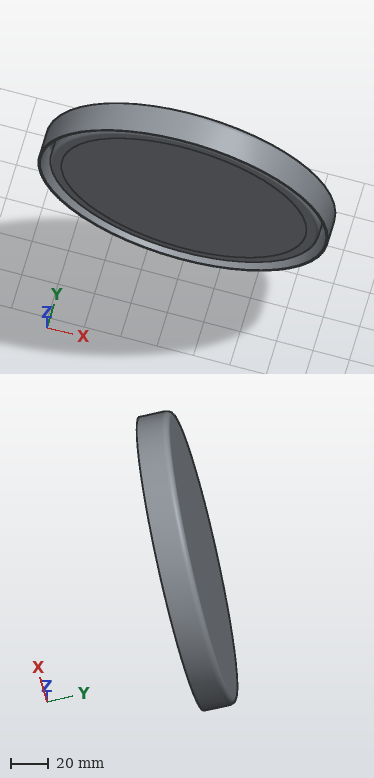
import cadquery as cq
import math

OUTER_RADIUS = 79.6
HEIGHT = 17.4
BACK_ROUND = 3.3

RIM_THICKNESS = 1.0
GROOVE_INNER_RADIUS = 73.9
GROOVE_DEPTH = HEIGHT - RIM_THICKNESS

FACE_DROP = 1.5
FACE_ROUND = 1.8
DISC_RADIUS = 67.4
DISC_THICKNESS = 1.6

RIM_Y = 0.0
BACK_Y = RIM_Y + HEIGHT
FACE_Y = RIM_Y + FACE_DROP
DISC_BACK_Y = FACE_Y + DISC_THICKNESS


def make_lid():
    """Revolve the lid section, with its groove and disc recess, about the Y axis."""
    rim_inner_radius = OUTER_RADIUS - RIM_THICKNESS
    groove_round = (rim_inner_radius - GROOVE_INNER_RADIUS) / 2
    groove_middle = GROOVE_INNER_RADIUS + groove_round
    groove_floor_y = RIM_Y + GROOVE_DEPTH
    groove_arc_y = groove_floor_y - groove_round

    diagonal = math.sqrt(0.5)
    back_centre = (OUTER_RADIUS - BACK_ROUND, BACK_Y - BACK_ROUND)
    back_arc_middle = (back_centre[0] + BACK_ROUND * diagonal, back_centre[1] + BACK_ROUND * diagonal)
    face_centre = (GROOVE_INNER_RADIUS - FACE_ROUND, FACE_Y + FACE_ROUND)
    face_arc_middle = (face_centre[0] + FACE_ROUND * diagonal, face_centre[1] - FACE_ROUND * diagonal)

    return (
        cq.Workplane("XY")
        .moveTo(0, BACK_Y)
        .lineTo(back_centre[0], BACK_Y)
        .threePointArc(back_arc_middle, (OUTER_RADIUS, back_centre[1]))
        .lineTo(OUTER_RADIUS, RIM_Y)
        .lineTo(rim_inner_radius, RIM_Y)
        .lineTo(rim_inner_radius, groove_arc_y)
        .threePointArc((groove_middle, groove_floor_y), (GROOVE_INNER_RADIUS, groove_arc_y))
        .lineTo(GROOVE_INNER_RADIUS, face_centre[1])
        .threePointArc(face_arc_middle, (face_centre[0], FACE_Y))
        .lineTo(DISC_RADIUS, FACE_Y)
        .lineTo(DISC_RADIUS, DISC_BACK_Y)
        .lineTo(0, DISC_BACK_Y)
        .close()
        .revolve(360, (0, 0), (0, 1))
    )


def make_disc():
    """Flat disc filling the recess, flush with the raised face."""
    return cq.Workplane("XZ", origin=(0, DISC_BACK_Y, 0)).circle(DISC_RADIUS).extrude(DISC_THICKNESS)


lid = make_lid()
disc = make_disc()

result = cq.Compound.makeCompound([lid.val(), disc.val()])